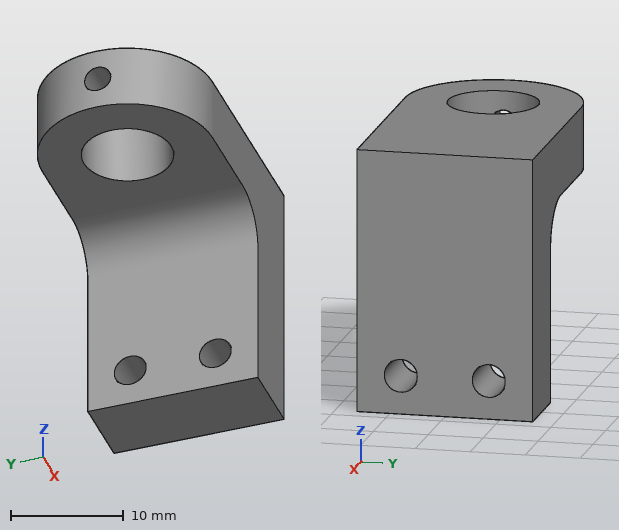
import cadquery as cq

length = 27.0
width = 16.0
height = 24.0

arm_thickness = 6.0
leg_thickness = 7.0
inner_fillet_radius = 4.0
tip_radius = width / 2

bore_diameter = 8.2
set_screw_diameter = 2.45
mount_hole_diameter = 3.0
mount_hole_spacing = width / 2
mount_hole_height = 3.5

leg_face_x = length - leg_thickness
arm_bottom_z = height - arm_thickness
set_screw_z = height - arm_thickness / 2


def make_arm():
    """Horizontal arm with a full-round tip."""
    return (
        cq.Workplane("XY", origin=(0, 0, arm_bottom_z))
        .moveTo(tip_radius, -width / 2)
        .lineTo(length, -width / 2)
        .lineTo(length, width / 2)
        .lineTo(tip_radius, width / 2)
        .threePointArc((0, 0), (tip_radius, -width / 2))
        .close()
        .extrude(arm_thickness)
    )


def make_leg():
    """Vertical leg at the square end of the arm."""
    return cq.Workplane("XY").box(leg_thickness, width, height, centered=(False, True, False)).translate(
        (leg_face_x, 0, 0)
    )


def make_bore():
    """Vertical bore through the arm, concentric with the tip."""
    return (
        cq.Workplane("XY", origin=(tip_radius, 0, arm_bottom_z))
        .circle(bore_diameter / 2)
        .extrude(arm_thickness)
    )


def make_set_screw_hole():
    """Radial hole from the tip into the bore, ending on the bore axis."""
    return (
        cq.Workplane("YZ", origin=(0, 0, set_screw_z))
        .circle(set_screw_diameter / 2)
        .extrude(tip_radius)
    )


def make_mount_holes():
    """Pair of holes through the leg."""
    return (
        cq.Workplane("YZ", origin=(leg_face_x, 0, mount_hole_height))
        .pushPoints([(side * mount_hole_spacing / 2, 0) for side in (-1, 1)])
        .circle(mount_hole_diameter / 2)
        .extrude(leg_thickness)
    )


body = make_arm().union(make_leg())
inner_corner = cq.selectors.NearestToPointSelector((leg_face_x, 0, arm_bottom_z))
body = body.edges("|Y").edges(inner_corner).fillet(inner_fillet_radius)

result = body.cut(make_bore()).cut(make_set_screw_hole()).cut(make_mount_holes())